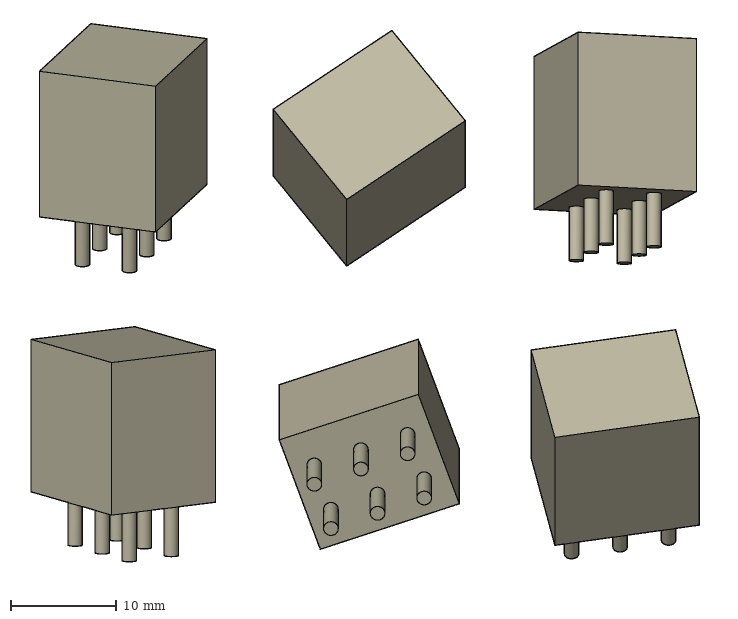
import cadquery as cq

total_height = 19.9
housing_length_x = 11.8
housing_width_y = 14.0
pin_length = 5.13
housing_height = total_height - pin_length

pin_diameter = 1.4
pin_pitch_x = 4.78
pin_pitch_y = 4.7
pin_columns = 2
pin_rows = 3


def make_housing():
    """Plain block standing on the plane z = 0."""
    return cq.Workplane("XY").box(
        housing_length_x, housing_width_y, housing_height, centered=(True, True, False)
    )


def make_pin(x, y):
    """Round pin hanging from the underside of the housing."""
    return cq.Workplane("XY").center(x, y).circle(pin_diameter / 2).extrude(-pin_length)


housing = make_housing()

pins = []
for column in range(pin_columns):
    for row in range(pin_rows):
        pin_x = (column - (pin_columns - 1) / 2) * pin_pitch_x
        pin_y = (row - (pin_rows - 1) / 2) * pin_pitch_y
        pins.append(make_pin(pin_x, pin_y).val())

result = cq.Compound.makeCompound([housing.val(), *pins])